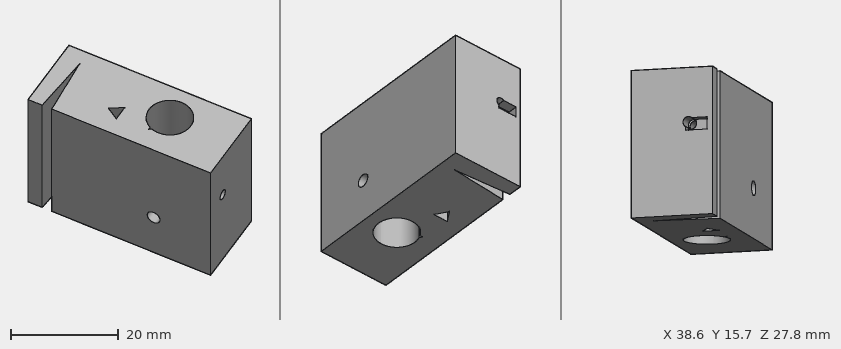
import cadquery as cq

length = 38.62
width = 15.7
height = 27.8

slot_start = 3.0
slot_mouth = 2.0
slot_depth = 12.6

bore_diameter = 8.8
bore_x = 25.25
bore_y = 8.65

triangle_length = 6.6
triangle_base = 3.25
channel_base_x = 16.7
channel_base_y = 3.63
notch_base_x = 23.2
notch_base_y = 4.17

cross_diameter = 2.7
cross_x = 26.57
cross_z = 9.5

long_diameter = 2.0
long_y = 4.67
long_z = 17.55
pocket_y = 1.05
pocket_z = 16.0
pocket_width = 4.17
pocket_height = 2.3
pocket_depth = 2.0


def vertical_prism(points):
    """Full-height cutter with a polygonal section."""
    return cq.Workplane("XY").polyline(points).close().extrude(height)


def triangular_channel(base_x, base_y, direction):
    """Triangle with its base parallel to Y and its tip pointing along +X or -X."""
    tip = (base_x + direction * triangle_length, base_y + triangle_base / 2)
    return vertical_prism([(base_x, base_y), (base_x, base_y + triangle_base), tip])


def v_slot():
    tip = (slot_start + slot_mouth / 2, slot_depth)
    return vertical_prism([(slot_start, 0), (slot_start + slot_mouth, 0), tip])


def bore():
    return cq.Workplane("XY").center(bore_x, bore_y).circle(bore_diameter / 2).extrude(height)


def cross_hole():
    return cq.Workplane("XZ").center(cross_x, cross_z).circle(cross_diameter / 2).extrude(-width)


def long_hole():
    return cq.Workplane("YZ").center(long_y, long_z).circle(long_diameter / 2).extrude(length)


def end_pocket():
    pocket = cq.Workplane("XY").box(pocket_depth, pocket_width, pocket_height, centered=False)
    return pocket.translate((0, pocket_y, pocket_z))


block = cq.Workplane("XY").box(length, width, height, centered=False)
result = (
    block.cut(v_slot())
    .cut(bore())
    .cut(triangular_channel(channel_base_x, channel_base_y, -0.4))
    .cut(triangular_channel(notch_base_x, notch_base_y, 0.4))
    .cut(cross_hole())
    .cut(long_hole())
    .cut(end_pocket())
)